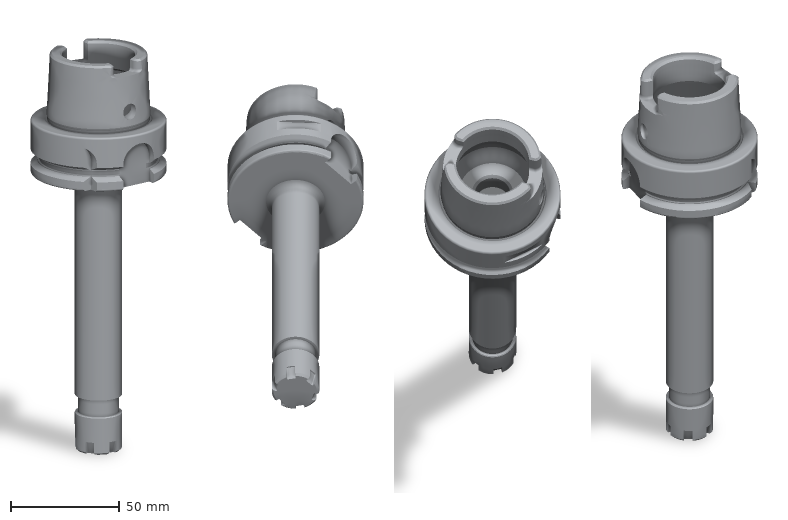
import cadquery as cq
import math


SHANK_TOP_Z = 32.0
TAPER_BASE_Z = 2.1
TAPER_BASE_RADIUS = 24.1
TAPER_SLOPE = 0.05
RIM_CHAMFER = 0.9
RELIEF_RADIUS = 23.75
RELIEF_TOP_Z = 1.0
FACE_GROOVE_RADIUS = 25.0
FACE_GROOVE_DEPTH = 0.5

BORE_RADIUS = 17.0
BORE_CHAMFER = 1.0
BORE_LIP_Z = 19.2
CHAMBER_RADIUS = 20.0
CHAMBER_BASE_Z = 8.0
LIP_SLOPE_ANGLE = 30.0
FLOOR_CONE_ANGLE = 60.0
FLOOR_RADIUS = 15.6
CENTRE_HOLE_RADIUS = 8.3
CENTRE_HOLE_CHAMFER = 1.2
CENTRE_HOLE_DEPTH = 10.0

SLOT_HALF_WIDTH = 6.1
SLOT_CORNER_RADIUS = 2.8
SLOT_TANGENT_RADIUS = 22.9
SLOT_FLARE_LENGTH = 6.0
SLOT_FLOOR_FILLET = 1.4
SLOT_INNER_X = 10.0
SLOT_OUTER_X = 30.0
EDGE_MARGIN = 1.0
LEFT_SLOT_FLOOR_Z = 22.0
RIGHT_SLOT_FLOOR_Z = 26.0

ACCESS_HOLE_DIAMETER = 7.5
ACCESS_HOLE_Z = 8.9

FLANGE_RADIUS = 31.5
FLANGE_BASE_Z = -26.0
FLANGE_ROUND = 1.0
GROOVE_CENTRE_Z = -18.0
GROOVE_FLOOR_RADIUS = 27.5
GROOVE_FLOOR_WIDTH = 2.4
GROOVE_STEP_WIDTH = 3.4
GROOVE_MOUTH_WIDTH = 6.9
GROOVE_FLANK_ANGLE = 30.0

KEYWAY_WIDTH = 18.0
KEYWAY_FLOOR_X = 26.5
KEYWAY_TOP_Z = -4.6

NOTCH_X = 20.0
NOTCH_Y = -20.0
NOTCH_ARC_CENTRE_Z = -12.3
NOTCH_ARC_RADIUS = 8.5

LABEL_ANGLE = 135.0
LABEL_DISTANCE = 29.8
LABEL_TOP_Z = -4.1
LABEL_HEIGHT = 6.0

STEM_RADIUS = 11.0
STEM_FILLET = 5.0
STEM_FILLET_END_Z = -30.4
STEM_BASE_Z = -133.5
NECK_RADIUS = 9.5

NUT_RADIUS = 11.0
NUT_TOP_Z = -141.8
NUT_TOP_CHAMFER = 0.4
NUT_BASE_Z = -160.0
NUT_BASE_CHAMFER = 1.0
NUT_SLOT_COUNT = 6
NUT_SLOT_WIDTH = 4.2
NUT_SLOT_TOP_RADIUS = 10.3
NUT_SLOT_BASE_RADIUS = 8.4
NUT_SLOT_HEIGHT = 6.0
NUT_SLOT_FILLET = 0.5


def revolve_profile(profile):
    """Turn a closed outline of (radius, height) points about the Z axis."""
    return profile.close().revolve(360, (0, 0, 0), (0, 1, 0))


def outer_body():
    rim_radius = TAPER_BASE_RADIUS - TAPER_SLOPE * (SHANK_TOP_Z - TAPER_BASE_Z)
    flank_drop = (GROOVE_MOUTH_WIDTH - GROOVE_STEP_WIDTH) / 2
    flank_inner_radius = FLANGE_RADIUS - flank_drop / math.tan(math.radians(GROOVE_FLANK_ANGLE))
    groove_floor_top = GROOVE_CENTRE_Z + GROOVE_FLOOR_WIDTH / 2
    groove_floor_base = GROOVE_CENTRE_Z - GROOVE_FLOOR_WIDTH / 2
    arc_rise = FLANGE_BASE_Z - STEM_FILLET_END_Z
    arc_sweep = math.asin(arc_rise / STEM_FILLET)
    arc_start_radius = STEM_RADIUS + STEM_FILLET * (1 - math.cos(arc_sweep))
    arc_mid = (
        STEM_RADIUS + STEM_FILLET * (1 - math.cos(arc_sweep / 2)),
        STEM_FILLET_END_Z + STEM_FILLET * math.sin(arc_sweep / 2),
    )
    round_mid = FLANGE_ROUND * (1 - math.sqrt(0.5))
    profile = (
        cq.Workplane("XZ")
        .moveTo(0, SHANK_TOP_Z)
        .lineTo(rim_radius - RIM_CHAMFER, SHANK_TOP_Z)
        .lineTo(rim_radius, SHANK_TOP_Z - RIM_CHAMFER)
        .lineTo(TAPER_BASE_RADIUS, TAPER_BASE_Z)
        .lineTo(RELIEF_RADIUS, RELIEF_TOP_Z)
        .lineTo(RELIEF_RADIUS, -FACE_GROOVE_DEPTH)
        .lineTo(FACE_GROOVE_RADIUS - FACE_GROOVE_DEPTH, -FACE_GROOVE_DEPTH)
        .lineTo(FACE_GROOVE_RADIUS, 0)
        .lineTo(FLANGE_RADIUS - FLANGE_ROUND, 0)
        .threePointArc((FLANGE_RADIUS - round_mid, -round_mid), (FLANGE_RADIUS, -FLANGE_ROUND))
        .lineTo(FLANGE_RADIUS, GROOVE_CENTRE_Z + GROOVE_MOUTH_WIDTH / 2)
        .lineTo(flank_inner_radius, GROOVE_CENTRE_Z + GROOVE_STEP_WIDTH / 2)
        .lineTo(flank_inner_radius, groove_floor_top)
        .lineTo(GROOVE_FLOOR_RADIUS, groove_floor_top)
        .lineTo(GROOVE_FLOOR_RADIUS, groove_floor_base)
        .lineTo(flank_inner_radius, groove_floor_base)
        .lineTo(flank_inner_radius, GROOVE_CENTRE_Z - GROOVE_STEP_WIDTH / 2)
        .lineTo(FLANGE_RADIUS, GROOVE_CENTRE_Z - GROOVE_MOUTH_WIDTH / 2)
        .lineTo(FLANGE_RADIUS, FLANGE_BASE_Z + FLANGE_ROUND)
        .threePointArc(
            (FLANGE_RADIUS - round_mid, FLANGE_BASE_Z + round_mid),
            (FLANGE_RADIUS - FLANGE_ROUND, FLANGE_BASE_Z),
        )
        .lineTo(arc_start_radius, FLANGE_BASE_Z)
        .threePointArc(arc_mid, (STEM_RADIUS, STEM_FILLET_END_Z))
        .lineTo(STEM_RADIUS, STEM_BASE_Z)
        .lineTo(NECK_RADIUS, STEM_BASE_Z)
        .lineTo(NECK_RADIUS, NUT_TOP_Z)
        .lineTo(NUT_RADIUS - NUT_TOP_CHAMFER, NUT_TOP_Z)
        .lineTo(NUT_RADIUS, NUT_TOP_Z - NUT_TOP_CHAMFER)
        .lineTo(NUT_RADIUS, NUT_BASE_Z + NUT_BASE_CHAMFER)
        .lineTo(NUT_RADIUS - NUT_BASE_CHAMFER, NUT_BASE_Z)
        .lineTo(0, NUT_BASE_Z)
    )
    return revolve_profile(profile)


def inner_cavity():
    lip_drop = (CHAMBER_RADIUS - BORE_RADIUS) * math.tan(math.radians(LIP_SLOPE_ANGLE))
    chamber_top_z = BORE_LIP_Z - lip_drop
    cone_drop = (CHAMBER_RADIUS - FLOOR_RADIUS) * math.tan(math.radians(FLOOR_CONE_ANGLE))
    floor_z = CHAMBER_BASE_Z - cone_drop
    profile = (
        cq.Workplane("XZ")
        .moveTo(0, SHANK_TOP_Z)
        .lineTo(BORE_RADIUS + BORE_CHAMFER, SHANK_TOP_Z)
        .lineTo(BORE_RADIUS, SHANK_TOP_Z - BORE_CHAMFER)
        .lineTo(BORE_RADIUS, BORE_LIP_Z)
        .lineTo(CHAMBER_RADIUS, chamber_top_z)
        .lineTo(CHAMBER_RADIUS, CHAMBER_BASE_Z)
        .lineTo(FLOOR_RADIUS, floor_z)
        .lineTo(CENTRE_HOLE_RADIUS + CENTRE_HOLE_CHAMFER, floor_z)
        .lineTo(CENTRE_HOLE_RADIUS, floor_z - CENTRE_HOLE_CHAMFER)
        .lineTo(CENTRE_HOLE_RADIUS, floor_z - CENTRE_HOLE_DEPTH)
        .lineTo(0, floor_z - CENTRE_HOLE_DEPTH)
    )
    return revolve_profile(profile)


def slot_outline(workplane, growth):
    """Plan of a slot whose walls curl round to run tangent to the shank, grown all round."""
    half_width = SLOT_HALF_WIDTH + growth
    corner_radius = SLOT_CORNER_RADIUS - growth
    tangent_radius = SLOT_TANGENT_RADIUS - growth
    centre_y = half_width + corner_radius
    centre_distance = tangent_radius - corner_radius
    tangent_angle = math.asin(centre_y / centre_distance)
    centre_x = centre_distance * math.cos(tangent_angle)
    mid_angle = (tangent_angle - math.pi / 2) / 2
    arc_mid_x = centre_x + corner_radius * math.cos(mid_angle)
    arc_mid_y = centre_y + corner_radius * math.sin(mid_angle)
    tangent_x = tangent_radius * math.cos(tangent_angle)
    tangent_y = tangent_radius * math.sin(tangent_angle)
    flare_x = tangent_x - SLOT_FLARE_LENGTH * math.sin(tangent_angle)
    flare_y = tangent_y + SLOT_FLARE_LENGTH * math.cos(tangent_angle)
    return (
        workplane.moveTo(SLOT_INNER_X, -half_width)
        .lineTo(centre_x, -half_width)
        .threePointArc((arc_mid_x, -arc_mid_y), (tangent_x, -tangent_y))
        .lineTo(flare_x, -flare_y)
        .lineTo(SLOT_OUTER_X, -flare_y)
        .lineTo(SLOT_OUTER_X, flare_y)
        .lineTo(flare_x, flare_y)
        .lineTo(tangent_x, tangent_y)
        .threePointArc((arc_mid_x, arc_mid_y), (centre_x, half_width))
        .lineTo(SLOT_INNER_X, half_width)
        .close()
    )


def drive_slot(floor_z):
    """Slot cutter on the +X side with a filleted floor and a chamfered mouth."""
    floor_plane = cq.Workplane("XY", origin=(0, 0, floor_z))
    channel = slot_outline(floor_plane, 0).extrude(SHANK_TOP_Z - floor_z)
    wall_feet = channel.faces("<Z").edges(
        cq.selectors.BoxSelector(
            (SLOT_INNER_X + EDGE_MARGIN, -SLOT_OUTER_X, floor_z - EDGE_MARGIN),
            (SLOT_OUTER_X - SLOT_FLARE_LENGTH, SLOT_OUTER_X, floor_z + EDGE_MARGIN),
        )
    )
    mouth_plane = cq.Workplane("XY", origin=(0, 0, SHANK_TOP_Z - RIM_CHAMFER))
    mouth_base = slot_outline(mouth_plane, 0)
    mouth = slot_outline(mouth_base.workplane(offset=RIM_CHAMFER), RIM_CHAMFER).loft(ruled=True)
    return wall_feet.fillet(SLOT_FLOOR_FILLET).union(mouth)


def access_hole():
    return (
        cq.Workplane("YZ", origin=(-FLANGE_RADIUS, 0, ACCESS_HOLE_Z))
        .circle(ACCESS_HOLE_DIAMETER / 2)
        .extrude(2 * FLANGE_RADIUS)
    )


def keyway():
    """Round-topped keyway cutter on the +X side, open at the flange base."""
    half_width = KEYWAY_WIDTH / 2
    arch_centre_z = KEYWAY_TOP_Z - half_width
    return (
        cq.Workplane("YZ", origin=(KEYWAY_FLOOR_X, 0, 0))
        .moveTo(-half_width, FLANGE_BASE_Z)
        .lineTo(-half_width, arch_centre_z)
        .threePointArc((0, KEYWAY_TOP_Z), (half_width, arch_centre_z))
        .lineTo(half_width, FLANGE_BASE_Z)
        .close()
        .extrude(FLANGE_RADIUS - KEYWAY_FLOOR_X)
    )


def orientation_notch():
    """Square corner notch that runs out upward along a cutter arc."""
    arc_centre_y = NOTCH_Y - NOTCH_ARC_RADIUS
    arc_mid = NOTCH_ARC_RADIUS * math.sqrt(0.5)
    return (
        cq.Workplane("YZ", origin=(NOTCH_X, 0, 0))
        .moveTo(NOTCH_Y, FLANGE_BASE_Z)
        .lineTo(NOTCH_Y, NOTCH_ARC_CENTRE_Z)
        .threePointArc(
            (arc_centre_y + arc_mid, NOTCH_ARC_CENTRE_Z + arc_mid),
            (arc_centre_y, NOTCH_ARC_CENTRE_Z + NOTCH_ARC_RADIUS),
        )
        .lineTo(-FLANGE_RADIUS, NOTCH_ARC_CENTRE_Z + NOTCH_ARC_RADIUS)
        .lineTo(-FLANGE_RADIUS, FLANGE_BASE_Z)
        .close()
        .extrude(FLANGE_RADIUS - NOTCH_X)
    )


def label_flat():
    return (
        cq.Workplane("XY")
        .box(FLANGE_RADIUS, 2 * FLANGE_RADIUS, LABEL_HEIGHT, centered=(False, True, False))
        .translate((LABEL_DISTANCE, 0, LABEL_TOP_Z - LABEL_HEIGHT))
        .rotate((0, 0, 0), (0, 0, 1), LABEL_ANGLE)
    )


def nut_slot(angle):
    """Wrench slot whose floor leans inward toward the nut base."""
    slot_top_z = NUT_BASE_Z + NUT_SLOT_HEIGHT
    return (
        cq.Workplane("XZ")
        .moveTo(NUT_SLOT_TOP_RADIUS, slot_top_z)
        .lineTo(NUT_SLOT_BASE_RADIUS, NUT_BASE_Z)
        .lineTo(2 * NUT_RADIUS, NUT_BASE_Z)
        .lineTo(2 * NUT_RADIUS, slot_top_z)
        .close()
        .extrude(NUT_SLOT_WIDTH / 2, both=True)
        .faces("<X")
        .edges("not |Y")
        .fillet(NUT_SLOT_FILLET)
        .rotate((0, 0, 0), (0, 0, 1), angle)
    )


def on_left(cutter):
    """Swing a +X side cutter round to the -X side."""
    return cutter.rotate((0, 0, 0), (0, 0, 1), 180)


result = outer_body().cut(inner_cavity())
result = result.cut(drive_slot(RIGHT_SLOT_FLOOR_Z))
result = result.cut(on_left(drive_slot(LEFT_SLOT_FLOOR_Z)))
result = result.cut(access_hole())
result = result.cut(keyway())
result = result.cut(on_left(keyway()))
result = result.cut(orientation_notch())
result = result.cut(label_flat())
for index in range(NUT_SLOT_COUNT):
    result = result.cut(nut_slot(index * 360 / NUT_SLOT_COUNT))